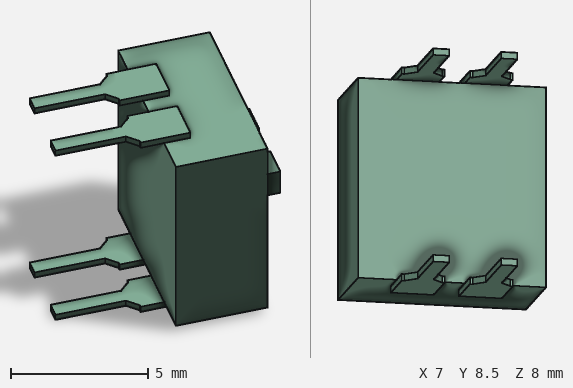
import cadquery as cq

overall_depth = 8.5

body_width = 7.0
body_depth = 3.5
body_height = 7.505

pitch = 2.54
column_positions = (-pitch / 2, pitch / 2)

actuator_width = 1.22
actuator_length = 1.0
actuator_height = 1.0
actuator_center_z = 0.65

lead_thickness = 0.25
lead_length = 5.0
blade_width = 1.6
blade_length = 1.9
taper_start_width = 1.4
taper_length = 0.4
pin_width = 0.6
lead_tip_y = actuator_length - overall_depth
lead_back_y = lead_tip_y + lead_length


def make_body():
    return cq.Workplane("XY").box(body_width, body_depth, body_height).translate((0, -body_depth / 2, 0))


def make_actuator(x):
    block = cq.Workplane("XY").box(actuator_width, actuator_length, actuator_height)
    return block.translate((x, actuator_length / 2, actuator_center_z))


def make_lead(x, bottom_z):
    """Flat lead pointing toward -Y, with its lower face at bottom_z."""
    shoulder_y = lead_back_y - blade_length
    pin_start_y = shoulder_y - taper_length
    right_side = [
        (blade_width / 2, lead_back_y),
        (blade_width / 2, shoulder_y),
        (taper_start_width / 2, shoulder_y),
        (pin_width / 2, pin_start_y),
        (pin_width / 2, lead_tip_y),
    ]
    left_side = [(-px, py) for px, py in reversed(right_side)]
    outline = cq.Workplane("XY").polyline(right_side + left_side).close()
    return outline.extrude(lead_thickness).translate((x, 0, bottom_z))


result = make_body()
for column_x in column_positions:
    result = result.union(make_actuator(column_x))
    for lead_bottom_z in (body_height / 2, -body_height / 2 - lead_thickness):
        result = result.union(make_lead(column_x, lead_bottom_z))